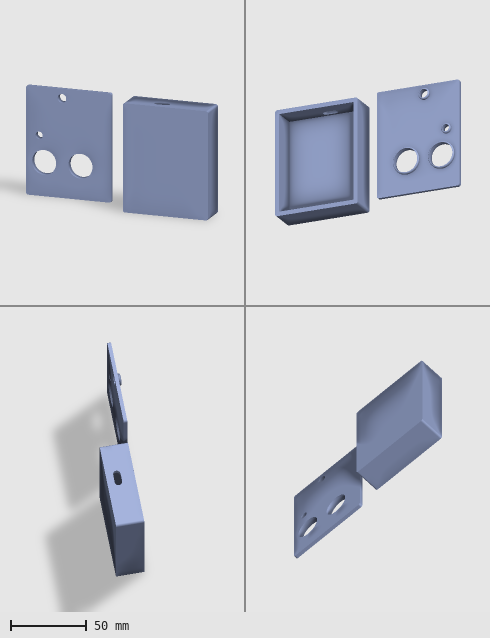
import cadquery as cq
import math

width = 60.0
height = 75.0
corner_radius = 1.5
body_gap = 15.0

plate_thickness = 2.5
collar_wall = 1.0
collar_height = 2.0
collar_rounding = 0.9
plate_holes = [
    (6.0, 25.25, 30.9),
    (5.0, 9.15, 4.0),
    (17.0, 12.65, -14.25),
    (17.0, 38.2, -14.4),
]

housing_depth = 19.0
wall = 3.0
slot_length = 10.8
slot_width = 5.0
slot_flat = 4.0
slot_end_radius = 2.4
slot_from_left = 25.0
slot_from_front = 7.5


def upright_block(left, front, depth, size_x, size_z, radius):
    """Block centred on Z = 0 with its four Y-direction edges rounded."""
    block = cq.Workplane("XY").box(size_x, depth, size_z, centered=(False, False, True))
    return block.edges("|Y").fillet(radius).translate((left, front, 0))


def cylinder_along_y(diameter, x, z, front, length):
    """Solid cylinder running from Y = front towards +Y."""
    plane = cq.Workplane("XZ", origin=(x, front, z))
    return plane.circle(diameter / 2).extrude(-length)


def make_plate():
    """Flat plate on Y = 0, with a collar around each through hole on its +Y face."""
    plate = upright_block(0, 0, plate_thickness, width, height, corner_radius)
    through_length = plate_thickness + collar_height
    for diameter, x, z in plate_holes:
        collar_diameter = diameter + 2 * collar_wall
        collar = cylinder_along_y(collar_diameter, x, z, 0, through_length)
        plate = plate.union(collar.faces(">Y").edges().fillet(collar_rounding))
    for diameter, x, z in plate_holes:
        plate = plate.cut(cylinder_along_y(diameter, x, z, 0, through_length))
    return plate


def make_slot_cutter():
    """Slot centred on X = 0: a straight front side, round ends, and a back side that falls away in
    shallow shoulder arcs. Each arc is tangent to its neighbours."""
    half_flat = slot_flat / 2
    half_width = slot_width / 2
    end_x = slot_length / 2 - slot_end_radius
    end_y = slot_end_radius - half_width

    run = end_x - half_flat
    rise = half_width - end_y
    shoulder_radius = (run**2 + rise**2 - slot_end_radius**2) / (2 * (rise - slot_end_radius))
    shoulder_angle = math.asin(run / (shoulder_radius - slot_end_radius))
    shoulder_y = half_width - shoulder_radius

    def shoulder_point(angle):
        return half_flat + shoulder_radius * math.sin(angle), shoulder_y + shoulder_radius * math.cos(angle)

    mid_x, mid_y = shoulder_point(shoulder_angle / 2)
    join_x, join_y = shoulder_point(shoulder_angle)
    tip_x = slot_length / 2
    outline = (
        cq.Workplane("XY")
        .moveTo(-half_flat, half_width)
        .lineTo(half_flat, half_width)
        .threePointArc((mid_x, mid_y), (join_x, join_y))
        .threePointArc((tip_x, end_y), (end_x, -half_width))
        .lineTo(-end_x, -half_width)
        .threePointArc((-tip_x, end_y), (-join_x, join_y))
        .threePointArc((-mid_x, mid_y), (-half_flat, half_width))
        .close()
    )
    return outline.extrude(wall)


def make_housing():
    """Box open towards +Y, with a rounded slot through its top wall."""
    left = width + body_gap
    front = -housing_depth
    housing = upright_block(left, front, housing_depth, width, height, corner_radius)
    cavity = cq.Workplane("XY").box(
        width - 2 * wall, housing_depth - wall, height - 2 * wall, centered=(False, False, True)
    )
    housing = housing.cut(cavity.translate((left + wall, front + wall, 0)))
    slot = make_slot_cutter().translate((left + slot_from_left, front + slot_from_front, height / 2 - wall))
    return housing.cut(slot)


plate = make_plate()
housing = make_housing()
result = cq.Compound.makeCompound([plate.val(), housing.val()])